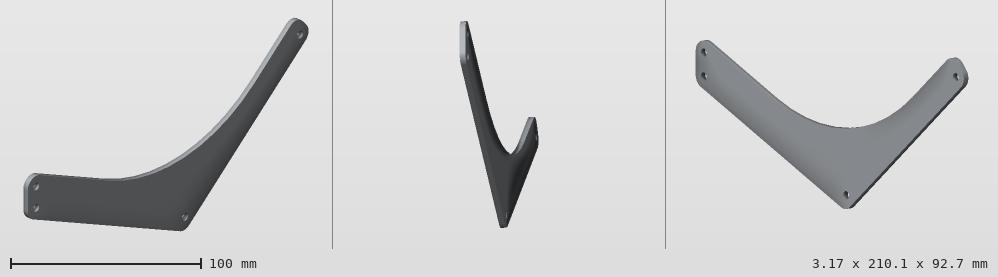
import cadquery as cq
import math

thickness = 3.17
hole_diameter = 4.37
edge_margin = 6.35
inner_bend_radius = 102.8

long_arm_hole_y = 85.9
long_arm_hole_z = 75.5
long_arm_width = 17.07

wide_arm_hole_y = -111.5
wide_arm_lower_hole_z = 47.2
wide_arm_hole_pitch = 12.7
wide_arm_angle = 156.27

pivot_hole = (0, 0)
long_arm_hole = (long_arm_hole_y, long_arm_hole_z)
lower_hole = (wide_arm_hole_y, wide_arm_lower_hole_z)
upper_hole = (wide_arm_hole_y, wide_arm_lower_hole_z + wide_arm_hole_pitch)
holes = [pivot_hole, long_arm_hole, lower_hole, upper_hole]

long_arm_angle = math.degrees(math.atan2(long_arm_hole_z, long_arm_hole_y))


def edge_line(point, angle, offset):
    """Line at the given angle, shifted to the left of its direction; returns (point, direction)."""
    direction = (math.cos(math.radians(angle)), math.sin(math.radians(angle)))
    shifted = (point[0] - offset * direction[1], point[1] + offset * direction[0])
    return shifted, direction


def crossing(line_a, line_b):
    """Point where two lines meet."""
    (ay, az), (a_dy, a_dz) = line_a
    (by, bz), (b_dy, b_dz) = line_b
    along = ((by - ay) * b_dz - (bz - az) * b_dy) / (a_dy * b_dz - a_dz * b_dy)
    return (ay + along * a_dy, az + along * a_dz)


def bracket_corners():
    """Sharp corners: the outer ones in order from the long arm tip, and the inner bend."""
    long_lower = edge_line(long_arm_hole, long_arm_angle, -edge_margin)
    long_upper = edge_line(long_arm_hole, long_arm_angle, long_arm_width - edge_margin)
    long_end = edge_line(long_arm_hole, long_arm_angle + 90, -edge_margin)
    wide_lower = edge_line(lower_hole, wide_arm_angle, edge_margin)
    wide_upper = edge_line(upper_hole, wide_arm_angle, -edge_margin)
    wide_end = edge_line(lower_hole, 90, edge_margin)
    outer = [
        crossing(long_lower, long_end),
        crossing(long_end, long_upper),
        crossing(wide_upper, wide_end),
        crossing(wide_end, wide_lower),
        crossing(wide_lower, long_lower),
    ]
    inner = crossing(long_upper, wide_upper)
    return outer, inner


def corner_edge(plate, corner):
    """The plate edge through the thickness at an outline corner."""
    middle = (thickness / 2, corner[0], corner[1])
    return plate.edges("|X").edges(cq.selectors.NearestToPointSelector(middle))


def bracket_plate():
    outer, inner = bracket_corners()
    outline = outer[:2] + [inner] + outer[2:]
    plate = cq.Workplane("YZ").polyline(outline).close().extrude(thickness)
    plate = corner_edge(plate, inner).fillet(inner_bend_radius)
    for corner in outer:
        plate = corner_edge(plate, corner).fillet(edge_margin)
    return plate


def hole_cutters():
    return cq.Workplane("YZ").pushPoints(holes).circle(hole_diameter / 2).extrude(thickness)


result = bracket_plate().cut(hole_cutters())